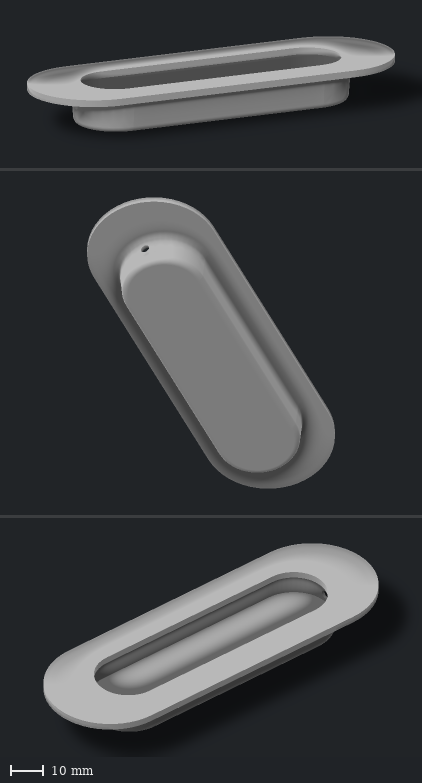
import cadquery as cq
import math

flange_length = 120.0
flange_width = 41.0
flange_thickness = 2.2
total_height = 13.3

cup_end_spacing = 64.1
cup_top_width = 28.0
cup_draft = 5.0
root_fillet = 1.8
bottom_fillet = 1.8

recess_length = 85.9
recess_width = 21.1
recess_depth = 9.1
undercut = 1.7
hole_diameter = 2.8
hole_depth = 6.5

flange_underside = -flange_thickness
cup_height = total_height - flange_thickness


def slot_prism(length, width, top, depth):
    """Vertical round-ended block along Y, extending down from the top level."""
    return cq.Workplane("XY").workplane(offset=top).slot2D(length, width, 90).extrude(-depth)


def make_cup():
    """Round-ended cup that narrows towards its bottom."""
    bottom_width = cup_top_width - 2 * cup_height * math.tan(math.radians(cup_draft))
    return (
        cq.Workplane("XY")
        .workplane(offset=flange_underside)
        .slot2D(cup_end_spacing + cup_top_width, cup_top_width, 90)
        .workplane(offset=-cup_height)
        .slot2D(cup_end_spacing + bottom_width, bottom_width, 90)
        .loft(ruled=True)
    )


def at_cup_root(edge):
    """True for the edges where the cup meets the underside of the flange."""
    box = edge.BoundingBox()
    level = math.isclose(box.zmin, flange_underside, abs_tol=0.01) and box.zlen < 0.01
    return level and max(abs(box.xmin), abs(box.xmax)) < flange_width / 2 - root_fillet


body = slot_prism(flange_length, flange_width, 0, flange_thickness).union(make_cup())
body = body.faces("<Z").edges().fillet(bottom_fillet)
root_edges = [edge for edge in body.edges().vals() if at_cup_root(edge)]
body = body.newObject(root_edges).fillet(root_fillet)

opening = slot_prism(recess_length, recess_width, 0, flange_thickness)
cavity = slot_prism(
    recess_length + 2 * undercut,
    recess_width + 2 * undercut,
    flange_underside,
    recess_depth - flange_thickness,
)
end_holes = (
    cq.Workplane("XZ")
    .center(0, -hole_depth)
    .circle(hole_diameter / 2)
    .extrude(flange_length / 2, both=True)
)

result = body.cut(opening).cut(cavity).cut(end_holes)